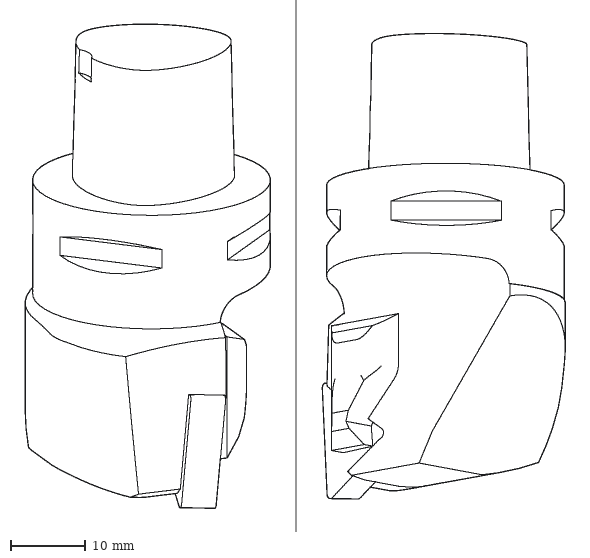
import cadquery as cq
import math


shank_height = 18.9
shank_base_radius = 10.9
shank_tip_radius = 10.45
lobe_eccentricity = 0.7
outline_points = 48
notch_radius = 3.85
notch_depth = 3.3
notch_back = 8.95

flange_radius = 16.0
flange_height = 16.0
groove_floor_distance = 14.15
groove_floor_width = 2.6
groove_mid_z = -6.15
groove_flank_angle = 30
groove_start_angle = 45
groove_count = 4

head_radius = 16.1
seat_y = 3.6
head_back_y = -18.1
head_bottom_z = -38.45
head_outer_x = 20.4
seat_bevel_x = 15.95
back_flat_end_x = 8.7
shoulder_cone_slope = 0.3
blend_start_angle = 38.5
blend_start_x = -7.65
blend_end_x = 2.65
oversize = 59.0

insert_side = 16.65
insert_thickness = 4.9
insert_corner_radius = 0.7
insert_tip = (22.05, 0.25, -40.6)
rake_normal = (0.1, 1.0, -0.11)
edge_lean = -0.05

clamp_height = 5.25
clamp_top_y = seat_y + clamp_height
clamp_upper_z = -17.35
clamp_lower_z = -34.4
clamp_root_y = 0.6
clamp_left_x = 5.3
clamp_right_x = 18.0
clamp_bevel_z = -25.35
clamp_edge_radius = 2.8


def lobed_outline(radius, z):
    """Three-lobed polygon, one lobe pointing to +Y."""
    e = lobe_eccentricity
    points = []
    for i in range(outline_points):
        t = 2 * math.pi * i / outline_points
        x = radius * math.sin(t) + 2 * e * math.sin(2 * t) + e * math.sin(4 * t)
        y = -(radius * math.cos(t) - 2 * e * math.cos(2 * t) + e * math.cos(4 * t))
        points.append(cq.Vector(x, y, z))
    return cq.Wire.assembleEdges([cq.Edge.makeSpline(points, periodic=True)])


def make_shank():
    base = lobed_outline(shank_base_radius, 0)
    tip = lobed_outline(shank_tip_radius, shank_height)
    shank = cq.Workplane(cq.Solid.makeLoft([base, tip]))
    notch = (
        cq.Workplane("XY", origin=(0, -notch_back - notch_radius, shank_height - notch_depth))
        .circle(notch_radius)
        .extrude(notch_depth)
    )
    return shank.cut(notch)


def cut_grooves(flange):
    """Four straight trapezoidal grooves on the diagonals."""
    reach = flange_radius - groove_floor_distance + 0.6
    half_floor = groove_floor_width / 2
    half_mouth = half_floor + reach * math.tan(math.radians(groove_flank_angle))
    inner = groove_floor_distance
    outer = inner + reach
    groove = (
        cq.Workplane("XZ", origin=(0, flange_radius, groove_mid_z))
        .polyline([(inner, -half_floor), (outer, -half_mouth), (outer, half_mouth), (inner, half_floor)])
        .close()
        .extrude(2 * flange_radius)
    )
    for i in range(groove_count):
        angle = groove_start_angle + i * 360 / groove_count
        flange = flange.cut(groove.rotate((0, 0, 0), (0, 0, 1), angle))
    return flange


def make_flange():
    return cut_grooves(cq.Workplane("XY").circle(flange_radius).extrude(-flange_height))


def head_plan():
    """Plan of the head: circle on the left, swept out to the cutting side."""
    a = math.radians(blend_start_angle)
    leave_x = -head_radius * math.sin(a)
    leave_y = -head_radius * math.cos(a)
    blend_radius = (blend_end_x - blend_start_x) / math.sin(a)
    blend_center_y = head_back_y + blend_radius
    blend_start_y = blend_center_y - blend_radius * math.cos(a)
    blend_mid_x = blend_end_x - blend_radius * math.sin(a / 2)
    blend_mid_y = blend_center_y - blend_radius * math.cos(a / 2)
    seat_left_x = -math.sqrt(head_radius**2 - seat_y**2)
    return (
        cq.Workplane("XY")
        .moveTo(seat_left_x, seat_y)
        .threePointArc((-head_radius, 0), (leave_x, leave_y))
        .lineTo(blend_start_x, blend_start_y)
        .threePointArc((blend_mid_x, blend_mid_y), (blend_end_x, head_back_y))
        .lineTo(back_flat_end_x, head_back_y)
        .threePointArc((10.45, -17.75), (12.1, -17.05))
        .threePointArc((16.5, -14.5), (head_outer_x, -10.05))
        .lineTo(head_outer_x, 2.6)
        .lineTo(seat_bevel_x, seat_y)
        .close()
        .extrude(-oversize)
    )


def head_front_profile():
    """Sloping back, short bottom and leaning outer face, seen along Y."""
    return (
        cq.Workplane("XZ", origin=(0, oversize / 2, 0))
        .polyline([
            (-head_radius, 0),
            (-head_radius, -17.2),
            (2.3, -38.05),
            (14.65, head_bottom_z),
            (15.75, -37.4),
            (19.2, -38.1),
            (20.3, -37.15),
            (19.25, -16.9),
            (19.25, 0),
        ])
        .close()
        .extrude(oversize)
    )


def head_side_profile():
    """Underside curving up towards the back, rake bevel at the lower seat edge."""
    return (
        cq.Workplane("YZ", origin=(-oversize / 2, 0, 0))
        .moveTo(seat_y, 0)
        .lineTo(seat_y, -34.2)
        .lineTo(2.7, -38.05)
        .lineTo(0.6, head_bottom_z)
        .threePointArc((-8.55, -38.2), (head_back_y, -35.45))
        .lineTo(head_back_y, 0)
        .close()
        .extrude(oversize)
    )


def shoulder_cone():
    """Everything below the shallow cone that falls away from the flange."""
    cone_radius = head_radius + 11.8
    cone_edge_z = -flange_height - shoulder_cone_slope * (cone_radius - head_radius)
    return (
        cq.Workplane("XZ")
        .polyline([
            (0, -flange_height),
            (head_radius, -flange_height),
            (cone_radius, cone_edge_z),
            (cone_radius, -oversize),
            (0, -oversize),
        ])
        .close()
        .revolve(360, (0, 0, 0), (0, 1, 0))
    )


def make_head():
    head = head_plan().intersect(head_front_profile())
    return head.intersect(head_side_profile()).intersect(shoulder_cone())


def clearance_cut():
    """Space above the seat, with a rounded inner corner under the flange."""
    return (
        cq.Workplane("YZ", origin=(-oversize / 2, 0, 0))
        .moveTo(seat_y, -flange_height - 0.6)
        .lineTo(seat_y, -flange_height)
        .threePointArc((4.6, -13.8), (6.9, -12.8))
        .lineTo(flange_radius + 0.6, -11.9)
        .lineTo(flange_radius + 0.6, -flange_height - 0.6)
        .close()
        .extrude(oversize)
    )


def triangle_prism(bottom, top):
    """Insert outline extruded between two heights along its tilted normal."""
    normal = cq.Vector(*rake_normal).normalized()
    edge_y = -(rake_normal[0] * edge_lean + rake_normal[2]) / rake_normal[1]
    plane = cq.Plane(origin=insert_tip, xDir=(edge_lean, edge_y, 1), normal=normal)
    apex = (insert_side / 2, -insert_side * math.sqrt(3) / 2)
    return (
        cq.Workplane(plane)
        .workplane(offset=bottom)
        .polyline([(0, 0), (insert_side, 0), apex])
        .close()
        .extrude(top - bottom)
        .edges("|(%f,%f,%f)" % normal.toTuple())
        .fillet(insert_corner_radius)
    )


def make_clamp():
    """Clamp lug: side profile, plan and face outline intersected."""
    side = (
        cq.Workplane("YZ")
        .polyline([
            (clamp_root_y, clamp_upper_z),
            (seat_y, clamp_upper_z),
            (7.9, -19.45),
            (clamp_top_y, -21.25),
            (clamp_top_y, -25.7),
            (7.9, -30.45),
            (6.5, -32.55),
            (seat_y, clamp_lower_z),
            (clamp_root_y, clamp_lower_z),
        ])
        .close()
        .extrude(oversize)
    )
    plan = (
        cq.Workplane("XY")
        .polyline([
            (clamp_left_x, clamp_root_y),
            (clamp_left_x, clamp_top_y),
            (12.7, clamp_top_y),
            (clamp_right_x, seat_y),
            (clamp_right_x, clamp_root_y),
        ])
        .close()
        .extrude(-oversize)
        .edges("|Z and >Y")
        .fillet(clamp_edge_radius)
    )
    face = (
        cq.Workplane("XZ", origin=(0, oversize / 2, 0))
        .polyline([
            (clamp_left_x, clamp_upper_z),
            (clamp_left_x, clamp_bevel_z),
            (11.8, -31.7),
            (11.8, clamp_lower_z),
            (clamp_right_x, clamp_lower_z),
            (clamp_right_x, clamp_upper_z),
        ])
        .close()
        .extrude(oversize)
        .edges(cq.selectors.NearestToPointSelector((clamp_left_x, 0, clamp_bevel_z)))
        .fillet(clamp_edge_radius)
    )
    return side.intersect(plan).intersect(face)


def make_holder(insert):
    body = make_flange().union(make_head()).cut(clearance_cut())
    pocket = triangle_prism(-insert_thickness, insert_thickness)
    body = body.cut(pocket).union(make_clamp()).cut(insert)
    return body.union(make_shank())


insert = triangle_prism(-insert_thickness, 0)
holder = make_holder(insert)

result = cq.Compound.makeCompound([*holder.solids().vals(), *insert.solids().vals()])